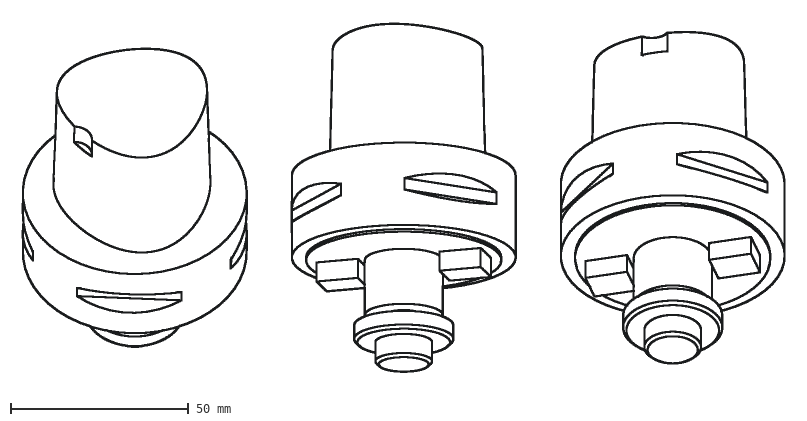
import cadquery as cq
import math

total_height = 93.5
body_bottom = 31.4
body_top = 55.6
seat_bottom = 30.7
key_bottom = 25.1
pilot_bottom = 14.5
head_top = 11.5
head_bottom = 6.5

body_diameter = 63.0
seat_diameter = 55.0
pilot_diameter = 22.0
neck_diameter = 10.0
head_diameter = 28.0
tip_diameter = 16.0
head_chamfer = 0.9
tip_chamfer = 0.9

shank_radius = 22.0
lobe_offset = 1.4
taper_slope = 1 / 40
outline_points = 48

notch_diameter = 10.0
notch_height = 6.3
notch_floor_y = -17.9

groove_count = 4
groove_first_angle = 45
groove_floor_distance = 27.9
groove_floor_width = 3.4
groove_wall_angle = 30

key_inner_x = 12.0
key_outer_x = 24.1
key_width = 10.0


def cylinder(diameter, bottom, top):
    return cq.Workplane("XY").workplane(offset=bottom).circle(diameter / 2).extrude(top - bottom)


def shank_outline_points(mean_radius):
    """Three-lobed curve with one lobe toward +Y and a flatter side toward -Y."""
    points = []
    for i in range(outline_points):
        t = 2 * math.pi * i / outline_points
        x = mean_radius * math.sin(t) - lobe_offset * math.sin(2 * t)
        y = mean_radius * math.cos(t) + lobe_offset * math.cos(2 * t)
        points.append((x, y))
    return points


def make_shank():
    height = total_height - body_top
    top_radius = shank_radius - height * taper_slope
    shank = (
        cq.Workplane("XY")
        .workplane(offset=body_top)
        .spline(shank_outline_points(shank_radius), periodic=True)
        .close()
        .workplane(offset=height)
        .spline(shank_outline_points(top_radius), periodic=True)
        .close()
        .loft(ruled=True)
    )
    notch_center_y = notch_floor_y - notch_diameter / 2
    notch = cylinder(notch_diameter, total_height - notch_height, total_height)
    return shank.cut(notch.translate((0, notch_center_y, 0)))


def make_groove(angle):
    """Straight groove with sloping walls, tangential to the body at the given angle."""
    cutter_reach = body_diameter / 2 + 0.9
    half_floor = groove_floor_width / 2
    flare = (cutter_reach - groove_floor_distance) * math.tan(math.radians(groove_wall_angle))
    groove = (
        cq.Workplane("XZ")
        .polyline([
            (groove_floor_distance, -half_floor),
            (cutter_reach, -half_floor - flare),
            (cutter_reach, half_floor + flare),
            (groove_floor_distance, half_floor),
        ])
        .close()
        .extrude(body_diameter / 2, both=True)
    )
    mid_height = (body_bottom + body_top) / 2
    return groove.translate((0, 0, mid_height)).rotate((0, 0, 0), (0, 0, 1), angle)


def make_body():
    body = cylinder(body_diameter, body_bottom, body_top)
    for i in range(groove_count):
        body = body.cut(make_groove(groove_first_angle + i * 360 / groove_count))
    return body.union(cylinder(seat_diameter, seat_bottom, body_bottom))


def make_key(side):
    center_x = side * (key_inner_x + key_outer_x) / 2
    return (
        cq.Workplane("XY")
        .workplane(offset=key_bottom)
        .center(center_x, 0)
        .rect(key_outer_x - key_inner_x, key_width)
        .extrude(seat_bottom - key_bottom)
    )


def make_pilot_and_screw():
    pilot = cylinder(pilot_diameter, pilot_bottom, seat_bottom)
    neck = cylinder(neck_diameter, head_top, pilot_bottom)
    head = cylinder(head_diameter, head_bottom, head_top).faces("<Z").chamfer(head_chamfer)
    tip = cylinder(tip_diameter, 0, head_bottom).faces("<Z").chamfer(tip_chamfer)
    return pilot.union(neck).union(head).union(tip)


result = make_body().union(make_shank()).union(make_pilot_and_screw())
for side in (-1, 1):
    result = result.union(make_key(side))